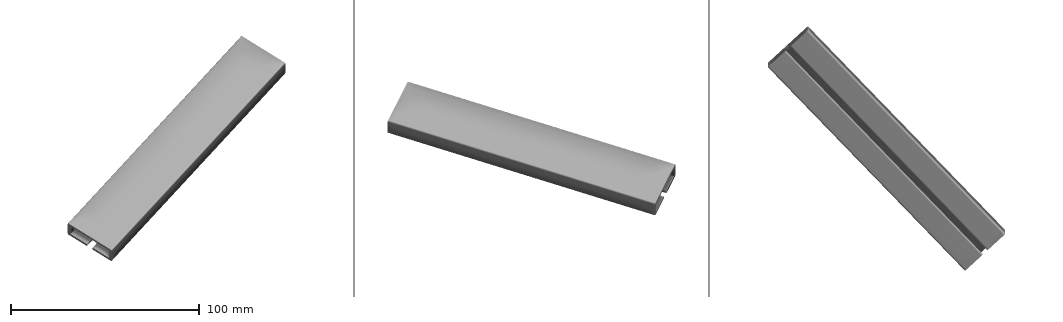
import cadquery as cq

width = 29.337
length = 152.4
height = 10.287
wall = 1.778
slot_width = 3.175
corner_radius = wall / 2
lip_radius = wall / 2

half_width = width / 2
top = height / 2
bottom = -height / 2
cavity_half_width = half_width - wall
cavity_top = top - wall
cavity_bottom = bottom + wall
lip_tip = slot_width / 2
lip_flat_end = lip_tip + lip_radius
lip_middle = bottom + lip_radius


def channel_profile():
    """C-shaped cross-section with square corners and round lip ends."""
    return (
        cq.Workplane("XZ")
        .moveTo(-lip_flat_end, bottom)
        .lineTo(-half_width, bottom)
        .lineTo(-half_width, top)
        .lineTo(half_width, top)
        .lineTo(half_width, bottom)
        .lineTo(lip_flat_end, bottom)
        .threePointArc((lip_tip, lip_middle), (lip_flat_end, cavity_bottom))
        .lineTo(cavity_half_width, cavity_bottom)
        .lineTo(cavity_half_width, cavity_top)
        .lineTo(-cavity_half_width, cavity_top)
        .lineTo(-cavity_half_width, cavity_bottom)
        .lineTo(-lip_flat_end, cavity_bottom)
        .threePointArc((-lip_tip, lip_middle), (-lip_flat_end, bottom))
        .close()
    )


def round_outer_corners(body):
    """Round the long edges along both sides of the channel."""
    side_edges = body.faces("<X or >X").edges("|Y")
    return side_edges.fillet(corner_radius)


channel = channel_profile().extrude(length / 2, both=True)
result = round_outer_corners(channel)